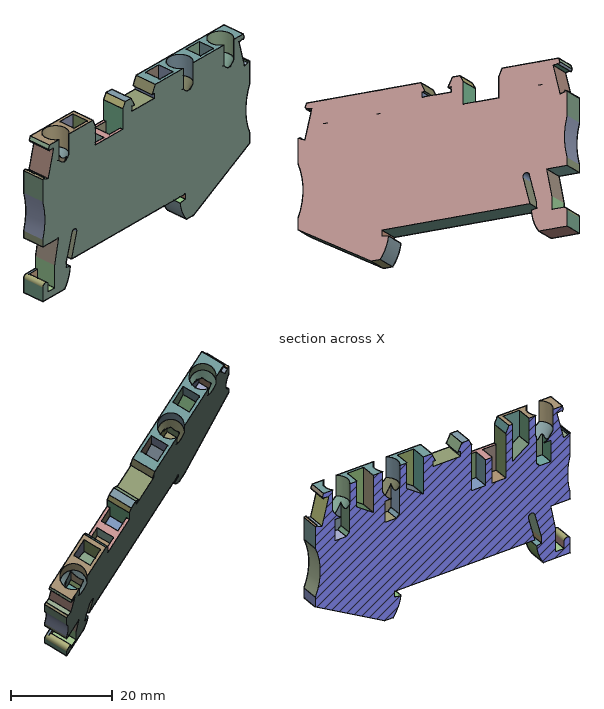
import cadquery as cq
import math


thickness = 5.15
length = 60.4
height = 35.3
half_length = length / 2
half_thickness = thickness / 2

lip_end = 28.25
lip_bulge_end = 28.55
lip_bulge_z = 34.4
lip_corner_end = 28.25
lip_corner_z = 33.95
lip_notch_end = 28.0
lip_notch_z = 34.1
groove_top_z = 33.95
groove_root_end = 27.05
groove_foot_end = 28.6
groove_foot_z = 27.7
ridge_inner_end = 29.6
ridge_inner_z = 28.0
ridge_peak_end = 29.7
ridge_peak_z = 28.3
shoulder_z = 28.15

grip_top_z = 23.0
back_grip_bottom_z = 11.6
back_grip_depth = 1.15
front_grip_bottom_z = 14.25
front_grip_depth = 0.6

rail_seat_z = 6.05
hook_top_z = 4.85
hook_tip_z = 4.6
slope_top_z = 9.25
foot_outer_y = 13.8
foot_inner_y = 11.7
foot_bulge = (10.4, 2.4)
foot_tip_y = 9.85
foot_root_y = 11.35

slot_lean = math.radians(15)
slot_end_y = -21.0
slot_end_z = 11.9
slot_radius = 0.7
spring_tip_y = -22.15
spring_bulge = (-22.65, 2.2)
spring_toe_y = -23.8
spring_outer_y = -26.75
spring_bend_z = 6.8
spring_root_y = -25.6
overhang_z = 12.6
pad_top_z = 4.05
pad_round = 0.8
pad_pocket_wall = 0.55
pad_pocket_depth = 2.4

marker_floor_z = 32.2
marker_lip_z = 33.3
marker_back_y = 2.3
marker_back_lip_y = 1.7
marker_back_top_y = 2.6
marker_front_y = -4.15
marker_front_lip_y = -3.45
marker_front_top_y = -4.45

bridge_floor_z = 29.25
bridge_back_y = -6.9
bridge_front_y = -14.85
bridge_lead_in = 0.7
bridge_back_lead_in_z = 33.95
bridge_front_lead_in_z = 33.65

outer_funnel_y = 24.05
funnel_pitch = 11.85
funnel_x = 0.3
funnel_radius = 2.65
funnel_straight_depth = 4.85
cone_depth = 3.6
throat_radius = 1.1
channel_width = 2.95
channel_outer_reach = 1.45
channel_inner_reach = 1.9
channel_chamfer = 0.7
channel_rim_radius = 1.65
channel_depth = 12.1

pocket_size = 3.8
pocket_offset = 5.6
pocket_shallow_depth = 6.05
pocket_floor_angle = math.radians(35)
bridge_pocket_length = 3.2
bridge_pocket_depth = 6.05


def label_groove(end):
    """Points from the top edge down to the shoulder at the end on the +Y (1) or -Y (-1) side."""
    points = [
        (lip_end, height),
        (lip_bulge_end, lip_bulge_z),
        (lip_corner_end, lip_corner_z),
        (lip_notch_end, lip_notch_z),
        (groove_root_end, groove_top_z),
        (groove_foot_end, groove_foot_z),
        (ridge_inner_end, ridge_inner_z),
        (ridge_peak_end, ridge_peak_z),
        (half_length, shoulder_z),
    ]
    return [(end * y, z) for y, z in points]


def plate():
    """Full-thickness body with both feet and the top notches."""
    lean_sin = math.sin(slot_lean)
    lean_cos = math.cos(slot_lean)

    def slot_wall(side):
        """Upper and lower ends of the slot wall on the +Y (1) or -Y (-1) side."""
        top_y = slot_end_y + side * slot_radius * lean_cos
        top_z = slot_end_z - side * slot_radius * lean_sin
        foot_y = top_y - (top_z - rail_seat_z) * math.tan(slot_lean)
        return (top_y, top_z), (foot_y, rail_seat_z)

    body_wall_top, body_wall_foot = slot_wall(1)
    spring_wall_top, spring_wall_foot = slot_wall(-1)
    slot_crown = (slot_end_y + slot_radius * lean_sin, slot_end_z + slot_radius * lean_cos)

    back_groove = label_groove(1)
    front_groove = label_groove(-1)
    back_grip_middle = (half_length - back_grip_depth, (grip_top_z + back_grip_bottom_z) / 2)
    front_grip_middle = (-half_length + front_grip_depth, (grip_top_z + front_grip_bottom_z) / 2)
    pad_arc_inset = pad_round * (1 - math.sqrt(0.5))

    outline = (
        cq.Workplane("YZ", origin=(-half_thickness, 0, 0))
        .polyline(back_groove)
        .lineTo(half_length, grip_top_z)
        .threePointArc(back_grip_middle, (half_length, back_grip_bottom_z))
        .lineTo(half_length, slope_top_z)
        .lineTo(foot_outer_y, 0)
        .lineTo(foot_inner_y, 0)
        .threePointArc(foot_bulge, (foot_tip_y, hook_tip_z))
        .lineTo(foot_root_y, hook_top_z)
        .lineTo(foot_root_y, rail_seat_z)
        .lineTo(*body_wall_foot)
        .lineTo(*body_wall_top)
        .threePointArc(slot_crown, spring_wall_top)
        .lineTo(*spring_wall_foot)
        .lineTo(spring_wall_foot[0], hook_top_z)
        .lineTo(spring_tip_y, hook_tip_z)
        .threePointArc(spring_bulge, (spring_toe_y, 0))
        .lineTo(-half_length, 0)
        .lineTo(-half_length, pad_top_z - pad_round)
        .threePointArc(
            (-half_length + pad_arc_inset, pad_top_z - pad_arc_inset),
            (-half_length + pad_round, pad_top_z),
        )
        .lineTo(spring_outer_y, pad_top_z)
        .lineTo(spring_outer_y, spring_bend_z)
        .lineTo(spring_root_y, overhang_z)
        .lineTo(-half_length, overhang_z)
        .lineTo(-half_length, front_grip_bottom_z)
        .threePointArc(front_grip_middle, (-half_length, grip_top_z))
    )
    for point in reversed(front_groove):
        outline = outline.lineTo(*point)
    outline = (
        outline.lineTo(bridge_front_y - bridge_lead_in, height)
        .lineTo(bridge_front_y, bridge_front_lead_in_z)
        .lineTo(bridge_front_y, bridge_floor_z)
        .lineTo(bridge_back_y, bridge_floor_z)
        .lineTo(bridge_back_y, bridge_back_lead_in_z)
        .lineTo(bridge_back_y + bridge_lead_in, height)
        .lineTo(marker_front_top_y, height)
        .lineTo(marker_front_lip_y, marker_lip_z)
        .lineTo(marker_front_y, marker_lip_z)
        .lineTo(marker_front_y, marker_floor_z)
        .lineTo(marker_back_y, marker_floor_z)
        .lineTo(marker_back_y, marker_lip_z)
        .lineTo(marker_back_lip_y, marker_lip_z)
        .lineTo(marker_back_top_y, height)
        .close()
    )
    return outline.extrude(thickness)


def pad_pocket():
    """Pocket in the spring foot pad, open to +X; it leaves a round-topped lip at the -Y end."""
    lip_crest_y = -half_length + pad_round
    lip_inner_y = -half_length + 2 * pad_round
    round_inset = pad_round * math.sqrt(0.5)
    round_centre_z = pad_top_z - pad_round
    floor_z = pad_top_z - pad_pocket_depth
    return (
        cq.Workplane("YZ", origin=(-half_thickness + pad_pocket_wall, 0, 0))
        .moveTo(lip_crest_y, pad_top_z)
        .threePointArc(
            (lip_crest_y + round_inset, round_centre_z + round_inset),
            (lip_inner_y, round_centre_z),
        )
        .lineTo(lip_inner_y, floor_z)
        .lineTo(spring_outer_y, floor_z)
        .lineTo(spring_outer_y, pad_top_z)
        .close()
        .extrude(thickness - pad_pocket_wall)
    )


def wall_to_wall(points, width):
    """Prism with the given YZ outline, centred on X = 0."""
    return cq.Workplane("YZ").polyline(points).close().extrude(width / 2, both=True)


def wire_funnel(center_y, end):
    """Round entry, cone and channel with a chamfered floor; end is the sign of the plate end served."""
    cone_top_z = height - funnel_straight_depth
    cone_bottom_z = cone_top_z - cone_depth
    cone_steepness = cone_depth / (funnel_radius - throat_radius)
    rim_z = cone_bottom_z + (channel_rim_radius - throat_radius) * cone_steepness
    floor_z = height - channel_depth
    funnel = (
        cq.Workplane("XZ", origin=(funnel_x, center_y, 0))
        .moveTo(0, height)
        .lineTo(funnel_radius, height)
        .lineTo(funnel_radius, cone_top_z)
        .lineTo(throat_radius, cone_bottom_z)
        .lineTo(0, cone_bottom_z)
        .close()
        .revolve(360, (0, 0, 0), (0, 1, 0))
    )
    outer_wall_y = center_y + end * channel_outer_reach
    inner_wall_y = center_y - end * channel_inner_reach
    channel = wall_to_wall(
        [
            (outer_wall_y, floor_z),
            (outer_wall_y, rim_z),
            (center_y, rim_z),
            (center_y, cone_top_z),
            (inner_wall_y, cone_top_z),
            (inner_wall_y, floor_z + channel_chamfer),
            (inner_wall_y + end * channel_chamfer, floor_z),
        ],
        channel_width,
    )
    return funnel.union(channel)


def sloped_pocket(center_y, end):
    """Square pocket whose floor deepens away from the plate end given by the sign end."""
    outer_wall_y = center_y + end * pocket_size / 2
    inner_wall_y = center_y - end * pocket_size / 2
    shallow_z = height - pocket_shallow_depth
    deep_z = shallow_z - pocket_size * math.tan(pocket_floor_angle)
    return wall_to_wall(
        [(outer_wall_y, height), (outer_wall_y, shallow_z), (inner_wall_y, deep_z), (inner_wall_y, height)],
        pocket_size,
    )


def bridge_pocket(wall_y, direction):
    """Flat-floored pocket running from a bridge notch wall in the given Y direction."""
    far_y = wall_y + direction * bridge_pocket_length
    floor_z = bridge_floor_z - bridge_pocket_depth
    return wall_to_wall(
        [(wall_y, bridge_floor_z), (wall_y, floor_z), (far_y, floor_z), (far_y, bridge_floor_z)],
        pocket_size,
    )


result = plate().cut(pad_pocket())

terminals = [(outer_funnel_y, 1), (outer_funnel_y - funnel_pitch, 1), (-outer_funnel_y, -1)]
for funnel_y, end in terminals:
    result = result.cut(wire_funnel(funnel_y, end))
    result = result.cut(sloped_pocket(funnel_y - end * pocket_offset, end))

for wall_y, direction in [(bridge_back_y, -1), (bridge_front_y, 1)]:
    result = result.cut(bridge_pocket(wall_y, direction))